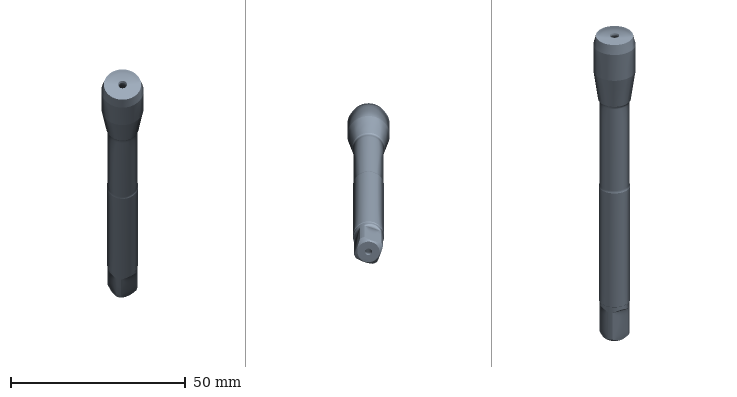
import cadquery as cq

length = 100.0

head_diameter = 12.15
head_top_cone_height = 2.9
head_top_diameter = 10.7
head_cylinder_height = 8.6
head_taper_height = 9.5
head_taper_end_diameter = 9.42
head_fillet_height = 0.9

upper_shank_diameter = 8.7
lower_shank_diameter = 9.0
lower_shank_top_z = 50.0
shank_fillet_height = 0.75
lower_shank_bottom_z = 12.1
shank_step = (lower_shank_diameter - upper_shank_diameter) / 2
shank_fillet_radius = (shank_fillet_height**2 + shank_step**2) / (2 * shank_step)

drive_diameter = 8.64
drive_across_flats = 7.0
drive_flat_height = 10.0
drive_end_chamfer = 1.15
drive_step_height = (lower_shank_diameter - drive_diameter) / 2

bore_diameter = 2.0
countersink_diameter = 2.6
countersink_angle = 60.0


def turned_body():
    """Solid of revolution holding the head, shank and drive cylinder."""
    head_cone_base_z = length - head_top_cone_height
    head_cylinder_base_z = head_cone_base_z - head_cylinder_height
    head_taper_base_z = head_cylinder_base_z - head_taper_height
    head_base_z = head_taper_base_z - head_fillet_height
    head_radius = head_diameter / 2
    drive_radius = drive_diameter / 2
    upper_radius = upper_shank_diameter / 2
    lower_radius = lower_shank_diameter / 2
    upper_shank_base_z = lower_shank_top_z + shank_fillet_height
    profile = (
        cq.Workplane("XZ")
        .lineTo(drive_radius - drive_end_chamfer, 0)
        .lineTo(drive_radius, drive_end_chamfer)
        .lineTo(drive_radius, lower_shank_bottom_z - drive_step_height)
        .lineTo(lower_radius, lower_shank_bottom_z)
        .lineTo(lower_radius, lower_shank_top_z)
        .radiusArc((upper_radius, upper_shank_base_z), shank_fillet_radius)
        .lineTo(upper_radius, head_base_z)
        .tangentArcPoint((head_taper_end_diameter / 2, head_taper_base_z), relative=False)
        .lineTo(head_radius, head_cylinder_base_z)
        .lineTo(head_radius, head_cone_base_z)
        .lineTo(head_top_diameter / 2, length)
        .lineTo(0, length)
        .close()
    )
    return profile.revolve(360, (0, 0), (0, 1))


def flat_cutter():
    """Block that mills the +X flat, with a 45 degree run-out at its upper end."""
    flat_x = drive_across_flats / 2
    outer_x = lower_shank_diameter
    run_out = outer_x - flat_x
    section = [
        (flat_x, 0),
        (outer_x, 0),
        (outer_x, drive_flat_height + run_out),
        (flat_x, drive_flat_height),
    ]
    half_width = lower_shank_diameter / 2
    return cq.Workplane("XZ").polyline(section).close().extrude(half_width, both=True)


def cut_square_drive(body):
    for side in range(4):
        cutter = flat_cutter().rotate((0, 0, 0), (0, 0, 1), 90 * side)
        body = body.cut(cutter)
    return body


def cut_bore(body):
    top = body.faces(">Z").workplane()
    return top.cskHole(bore_diameter, countersink_diameter, countersink_angle)


result = cut_bore(cut_square_drive(turned_body()))